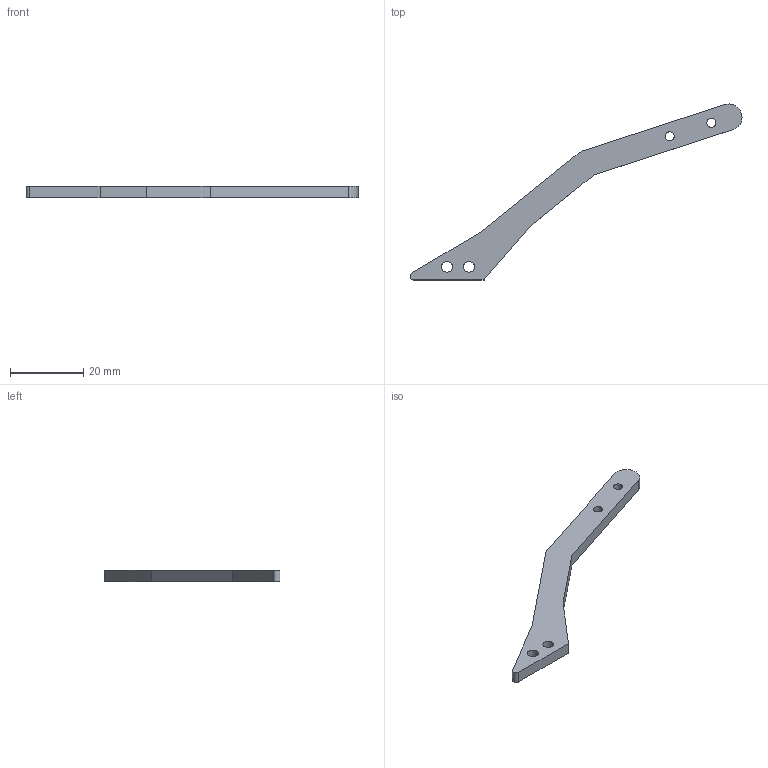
import cadquery as cq
import math

THICKNESS = 3.17

FOOT_HOLE_DIAMETER = 3.0
FOOT_HOLE_SPACING = 6.0
FOOT_BOTTOM_Y = -3.6
TOE_X = -10.1
TOE_RADIUS = 1.0
TOE_SLOPE = math.radians(30.8)
HEEL = (10.1, FOOT_BOTTOM_Y)

SHANK_ANGLE = math.radians(38.8)
SHANK_UPPER_START_X = 9.06
SHANK_LOWER_START = (22.73, 11.1)

ARM_ANGLE = math.radians(18.0)
ARM_HALF_WIDTH = 3.6
ARM_HOLE_DIAMETER = 2.5
ARM_HOLE_SPACING = 12.0
ARM_HOLE_TO_END_CENTER = 5.0
ARM_END_CENTER = (76.92, 40.84)


def along_arm(distance, offset=0.0):
    """Point at a distance from the arm's end centre along its axis, shifted sideways by offset."""
    x = ARM_END_CENTER[0] + distance * math.cos(ARM_ANGLE) - offset * math.sin(ARM_ANGLE)
    y = ARM_END_CENTER[1] + distance * math.sin(ARM_ANGLE) + offset * math.cos(ARM_ANGLE)
    return (x, y)


def intersection(point_a, angle_a, point_b, angle_b):
    """Crossing point of two lines, each given by a point and a direction angle."""
    slope_a = math.tan(angle_a)
    slope_b = math.tan(angle_b)
    x = (point_b[1] - point_a[1] + slope_a * point_a[0] - slope_b * point_b[0]) / (slope_a - slope_b)
    return (x, point_a[1] + slope_a * (x - point_a[0]))


def make_plate():
    toe_center = (TOE_X + TOE_RADIUS, FOOT_BOTTOM_Y + TOE_RADIUS)
    toe_bottom = (toe_center[0], FOOT_BOTTOM_Y)
    toe_left = (TOE_X, toe_center[1])
    toe_top = (
        toe_center[0] - TOE_RADIUS * math.sin(TOE_SLOPE),
        toe_center[1] + TOE_RADIUS * math.cos(TOE_SLOPE),
    )
    shank_upper_start = (
        SHANK_UPPER_START_X,
        toe_top[1] + (SHANK_UPPER_START_X - toe_top[0]) * math.tan(TOE_SLOPE),
    )

    arm_upper_end = along_arm(0, ARM_HALF_WIDTH)
    arm_lower_end = along_arm(0, -ARM_HALF_WIDTH)
    arm_tip = along_arm(ARM_HALF_WIDTH)
    upper_knee = intersection(shank_upper_start, SHANK_ANGLE, arm_upper_end, ARM_ANGLE)
    lower_knee = intersection(SHANK_LOWER_START, SHANK_ANGLE, arm_lower_end, ARM_ANGLE)

    outline = (
        cq.Workplane("XY")
        .moveTo(*toe_bottom)
        .lineTo(*HEEL)
        .lineTo(*SHANK_LOWER_START)
        .lineTo(*lower_knee)
        .lineTo(*arm_lower_end)
        .threePointArc(arm_tip, arm_upper_end)
        .lineTo(*upper_knee)
        .lineTo(*shank_upper_start)
        .lineTo(*toe_top)
        .threePointArc(toe_left, toe_bottom)
        .close()
    )
    return outline.extrude(THICKNESS)


def make_holes(centers, diameter):
    return cq.Workplane("XY").pushPoints(centers).circle(diameter / 2).extrude(THICKNESS)


foot_hole_centers = [(0, 0), (FOOT_HOLE_SPACING, 0)]
arm_hole_centers = [
    along_arm(-ARM_HOLE_TO_END_CENTER),
    along_arm(-ARM_HOLE_TO_END_CENTER - ARM_HOLE_SPACING),
]

result = (
    make_plate()
    .cut(make_holes(foot_hole_centers, FOOT_HOLE_DIAMETER))
    .cut(make_holes(arm_hole_centers, ARM_HOLE_DIAMETER))
)